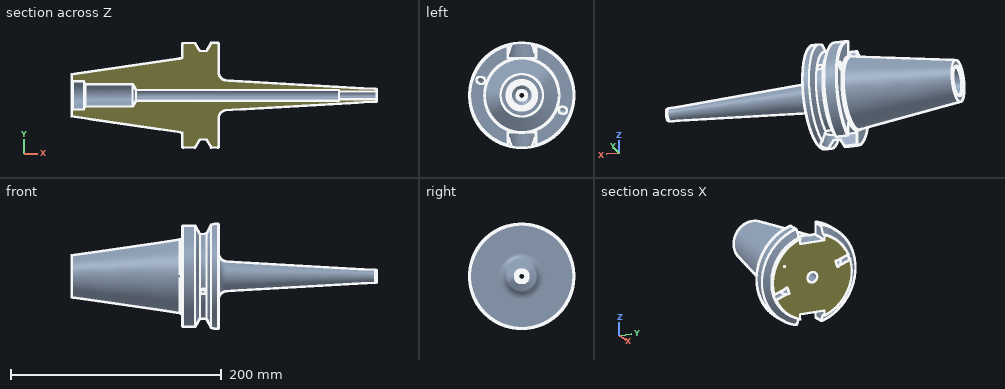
import cadquery as cq
import math

overall_length = 289.8
taper_length = 102.5
flange_start = 105.0
flange_end = 139.7
tip_length = 8.7

taper_slope = 7 / 48
taper_large_radius = 35.0
taper_small_radius = taper_large_radius - taper_length * taper_slope
collar_radius = 35.6
collar_chamfer_length = 1.2

flange_diameter = 100.0
flange_radius = flange_diameter / 2
rim_chamfer = 1.0
groove_center = 125.0
groove_floor_radius = 42.3
groove_floor_width = 6.5
groove_flank_angle = 60.0

neck_radius = 14.2
neck_fillet = 7.8
tip_diameter = 13.0
tip_radius = tip_diameter / 2
tip_chamfer_length = 1.7
tip_chamfer_depth = 1.0

slot_width = 25.8
slot_half_width = slot_width / 2
slot_end = 136.5
slot_floor = 35.5
slot_edge_chamfer = 1.0

mouth_radius = 14.5
pilot_radius = 13.3
pilot_depth = 11.5
thread_entry_radius = 12.2
pull_stud_radius = 10.5
pull_stud_depth = 58.0
drill_cone_half_angle = 59.0
passage_radius = 5.0
tool_bore_radius = 3.5
tool_bore_depth = 36.2

port_angle = 20.0
port_entry_radius = 41.5
port_diameter = 6.7
port_radius = port_diameter / 2
port_tilt = 35.0
plug_hole_radius = 2.5


def turned_body():
    flank_length = (flange_radius - groove_floor_radius) / math.tan(math.radians(groove_flank_angle))
    floor_start = groove_center - groove_floor_width / 2
    floor_end = groove_center + groove_floor_width / 2
    neck_start = flange_end + neck_fillet
    arc_offset = neck_fillet * (1 - math.sqrt(0.5))
    profile = (
        cq.Workplane("XY")
        .lineTo(0, taper_small_radius)
        .lineTo(taper_length, taper_large_radius)
        .lineTo(taper_length + collar_chamfer_length, collar_radius)
        .lineTo(flange_start, collar_radius)
        .lineTo(flange_start, flange_radius - rim_chamfer)
        .lineTo(flange_start + rim_chamfer, flange_radius)
        .lineTo(floor_start - flank_length, flange_radius)
        .lineTo(floor_start, groove_floor_radius)
        .lineTo(floor_end, groove_floor_radius)
        .lineTo(floor_end + flank_length, flange_radius)
        .lineTo(flange_end - rim_chamfer, flange_radius)
        .lineTo(flange_end, flange_radius - rim_chamfer)
        .lineTo(flange_end, neck_radius + neck_fillet)
        .threePointArc((flange_end + arc_offset, neck_radius + arc_offset), (neck_start, neck_radius))
        .lineTo(overall_length - tip_length, tip_radius)
        .lineTo(overall_length - tip_chamfer_length, tip_radius)
        .lineTo(overall_length, tip_radius - tip_chamfer_depth)
        .lineTo(overall_length, 0)
        .close()
    )
    return profile.revolve(360, (0, 0, 0), (1, 0, 0))


def central_bore():
    cone_length = (pull_stud_radius - passage_radius) / math.tan(math.radians(drill_cone_half_angle))
    tool_bore_start = overall_length - tool_bore_depth
    profile = (
        cq.Workplane("XY")
        .lineTo(0, mouth_radius)
        .lineTo(mouth_radius - pilot_radius, pilot_radius)
        .lineTo(pilot_depth, pilot_radius)
        .lineTo(pilot_depth, thread_entry_radius)
        .lineTo(pilot_depth + thread_entry_radius - pull_stud_radius, pull_stud_radius)
        .lineTo(pull_stud_depth, pull_stud_radius)
        .lineTo(pull_stud_depth + cone_length, passage_radius)
        .lineTo(tool_bore_start, passage_radius)
        .lineTo(tool_bore_start, tool_bore_radius)
        .lineTo(overall_length, tool_bore_radius)
        .lineTo(overall_length, 0)
        .close()
    )
    return profile.revolve(360, (0, 0, 0), (1, 0, 0))


def drive_slot():
    """Round-ended slot cutter for the +Z side, open toward the small end."""
    arc_center = slot_end - slot_half_width
    return (
        cq.Workplane("XY", origin=(0, 0, slot_floor))
        .moveTo(flange_start, -slot_half_width)
        .lineTo(arc_center, -slot_half_width)
        .threePointArc((slot_end, 0), (arc_center, slot_half_width))
        .lineTo(flange_start, slot_half_width)
        .close()
        .extrude(flange_radius - slot_floor)
    )


def slot_mouth_chamfer():
    """Cutter that breaks the slot corners on the rear flange face."""
    outer_half_width = slot_half_width + slot_edge_chamfer
    return (
        cq.Workplane("XY", origin=(0, 0, slot_floor))
        .moveTo(flange_start, -outer_half_width)
        .lineTo(flange_start + slot_edge_chamfer, -slot_half_width)
        .lineTo(flange_start + slot_edge_chamfer, slot_half_width)
        .lineTo(flange_start, outer_half_width)
        .close()
        .extrude(flange_radius - slot_floor)
    )


def slot_rim_chamfer():
    """Cutter that breaks the slot edges along the rear land of the flange."""
    outer_half_width = slot_half_width + slot_edge_chamfer
    edge_height = math.sqrt(flange_radius**2 - outer_half_width**2)
    return (
        cq.Workplane("YZ", origin=(flange_start, 0, 0))
        .moveTo(-slot_half_width, edge_height - slot_edge_chamfer)
        .lineTo(-outer_half_width, edge_height)
        .lineTo(-outer_half_width, flange_radius)
        .lineTo(outer_half_width, flange_radius)
        .lineTo(outer_half_width, edge_height)
        .lineTo(slot_half_width, edge_height - slot_edge_chamfer)
        .close()
        .extrude(groove_center - flange_start)
    )


def coolant_port():
    """Tilted hole from the rear flange face, met by a radial plug hole from the groove."""
    tilt = math.radians(port_tilt)
    axial_depth = groove_center - flange_start
    reach = axial_depth / math.cos(tilt)
    meeting_radius = port_entry_radius - axial_depth * math.tan(tilt)
    inward = cq.Vector(math.cos(tilt), -math.sin(tilt), 0)
    entry = cq.Vector(flange_start, port_entry_radius, 0)
    tilted = cq.Solid.makeCylinder(port_radius, reach + port_radius, entry - inward * port_radius, inward)
    plug_hole = cq.Solid.makeCylinder(
        plug_hole_radius,
        flange_radius - meeting_radius,
        cq.Vector(groove_center, meeting_radius, 0),
        cq.Vector(0, 1, 0),
    )
    return cq.Workplane(tilted).union(cq.Workplane(plug_hole)).rotate((0, 0, 0), (1, 0, 0), port_angle)


slot_cutter = drive_slot().union(slot_mouth_chamfer()).union(slot_rim_chamfer())
side_cutters = slot_cutter.union(coolant_port())

result = turned_body().cut(central_bore())
for turn in (0, 180):
    result = result.cut(side_cutters.rotate((0, 0, 0), (1, 0, 0), turn))